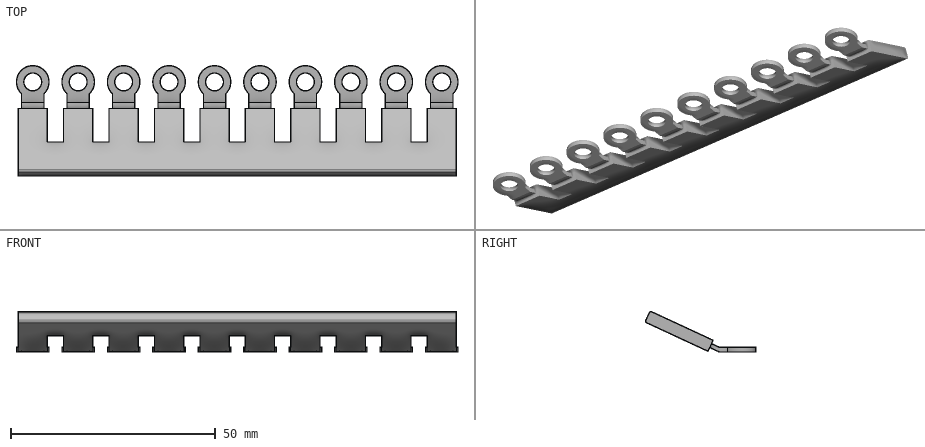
import cadquery as cq
import math

eyelet_count = 10
pitch = 11.1
eyelet_diameter = 8.0
hole_diameter = 4.3
tab_thickness = 1.2

neck_width = 5.5
bend_distance = 5.0
tilt_degrees = 24.9

finger_width = 7.2
finger_length = 9.0
bar_length = 17.0
bar_thickness = 3.0
edge_fillet = 0.5
finger_front_distance = 6.46
finger_front_height = 2.88
neck_embed = 1.5

row_length = (eyelet_count - 1) * pitch
bar_width = row_length + finger_width
slot_width = pitch - finger_width
slope = math.tan(math.radians(tilt_degrees))


def make_bar():
    """Inclined bar: local X along the row, local Y up the slope, local Z out of the upper face."""
    bar = cq.Workplane("XY").box(bar_width, bar_length, bar_thickness, centered=(True, False, False))
    bar = bar.faces(">Y").edges("|X").fillet(edge_fillet)
    for index in range(eyelet_count - 1):
        slot_x = (index + 0.5) * pitch - row_length / 2
        slot = cq.Workplane("XY").box(
            slot_width, finger_length, bar_thickness, centered=(True, False, False)
        )
        bar = bar.cut(slot.translate((slot_x, 0, 0)))
    bar = bar.translate((0, 0, -bar_thickness))
    bar = bar.rotate((0, 0, 0), (0, 0, 1), 180)
    bar = bar.rotate((0, 0, 0), (1, 0, 0), -tilt_degrees)
    return bar.translate((0, -finger_front_distance, finger_front_height))


def make_tab():
    """One eyelet with its bent neck, centred on X = 0 with the hole axis on Z."""
    neck_end = finger_front_distance + neck_embed
    rise = (neck_end - bend_distance) * slope
    neck_profile = [
        (0, 0),
        (-bend_distance, 0),
        (-neck_end, rise),
        (-neck_end, rise + tab_thickness),
        (-bend_distance, tab_thickness),
        (0, tab_thickness),
    ]
    neck = cq.Workplane("YZ").polyline(neck_profile).close().extrude(neck_width / 2, both=True)
    eyelet = cq.Workplane("XY").circle(eyelet_diameter / 2).extrude(tab_thickness)
    hole = cq.Workplane("XY").circle(hole_diameter / 2).extrude(tab_thickness)
    return neck.union(eyelet).cut(hole)


result = make_bar()
tab = make_tab()
for index in range(eyelet_count):
    result = result.union(tab.translate((index * pitch - row_length / 2, 0, 0)))